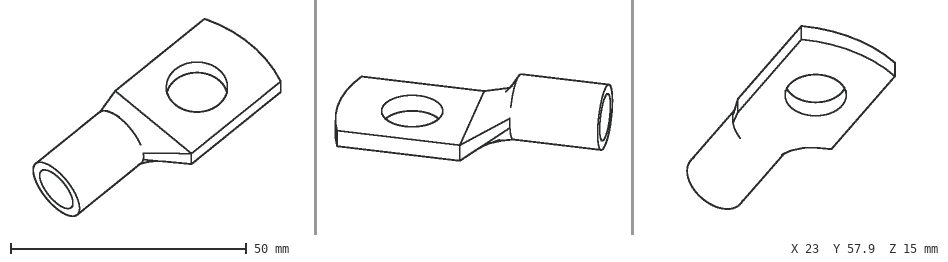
import cadquery as cq
import math

total_length = 57.9
palm_width = 23.0
palm_thickness = 3.9
palm_start = 28.95
palm_corner = 55.65
bolt_hole_diameter = 13.0
bolt_hole_position = 42.0

overall_height = 15.0
barrel_diameter = 14.0
barrel_length = 19.1
bore_diameter = 10.0
bore_depth = barrel_length
barrel_axis_height = overall_height - barrel_diameter / 2

neck_dish = 1.75


def make_palm():
    """Flat plate with an arched far end and a through hole."""
    half_width = palm_width / 2
    plate = (
        cq.Workplane("XY")
        .moveTo(-half_width, palm_start)
        .lineTo(half_width, palm_start)
        .lineTo(half_width, palm_corner)
        .threePointArc((0, total_length), (-half_width, palm_corner))
        .close()
        .extrude(palm_thickness)
    )
    hole = (
        cq.Workplane("XY")
        .center(0, bolt_hole_position)
        .circle(bolt_hole_diameter / 2)
        .extrude(palm_thickness)
    )
    return plate.cut(hole)


def cylinder_along_y(diameter, length):
    """Cylinder on the barrel axis, starting at the open end."""
    return (
        cq.Workplane("XZ", origin=(0, 0, barrel_axis_height))
        .circle(diameter / 2)
        .extrude(-length)
    )


def make_section(y, corner_x, corner_bottom, corner_top, side_x, bottom, top):
    """Closed neck section at y: bulging bottom, sides and top between four corners."""
    middle = (corner_bottom + corner_top) / 2
    return (
        cq.Workplane("XZ", origin=(0, y, 0))
        .moveTo(-corner_x, corner_bottom)
        .threePointArc((0, bottom), (corner_x, corner_bottom))
        .threePointArc((side_x, middle), (corner_x, corner_top))
        .threePointArc((0, top), (-corner_x, corner_top))
        .threePointArc((-side_x, middle), (-corner_x, corner_bottom))
        .close()
    )


def make_neck():
    """Smooth loft from the round barrel end to the flat palm, dished across its top."""
    barrel_radius = barrel_diameter / 2
    corner_angle = math.atan2(palm_thickness, palm_width)
    corner_x = barrel_radius * math.cos(corner_angle)
    corner_rise = barrel_radius * math.sin(corner_angle)
    barrel_sizes = (
        corner_x,
        barrel_axis_height - corner_rise,
        barrel_axis_height + corner_rise,
        barrel_radius,
        barrel_axis_height - barrel_radius,
        overall_height,
    )
    half_width = palm_width / 2
    palm_sizes = (half_width, 0, palm_thickness, half_width, 0, palm_thickness)

    middle_sizes = [(a + b) / 2 for a, b in zip(barrel_sizes, palm_sizes)]
    middle_sizes[-1] -= neck_dish
    middle_y = (barrel_length + palm_start) / 2

    barrel_end = make_section(barrel_length, *barrel_sizes).val()
    middle = make_section(middle_y, *middle_sizes).val()
    palm_end = (
        cq.Workplane("XZ", origin=(0, palm_start, 0))
        .moveTo(-half_width, 0)
        .lineTo(half_width, 0)
        .lineTo(half_width, palm_thickness)
        .lineTo(-half_width, palm_thickness)
        .close()
        .val()
    )
    return cq.Workplane(cq.Solid.makeLoft([barrel_end, middle, palm_end]))


barrel = cylinder_along_y(barrel_diameter, barrel_length)
bore = cylinder_along_y(bore_diameter, bore_depth)

result = barrel.union(make_neck()).union(make_palm()).cut(bore)